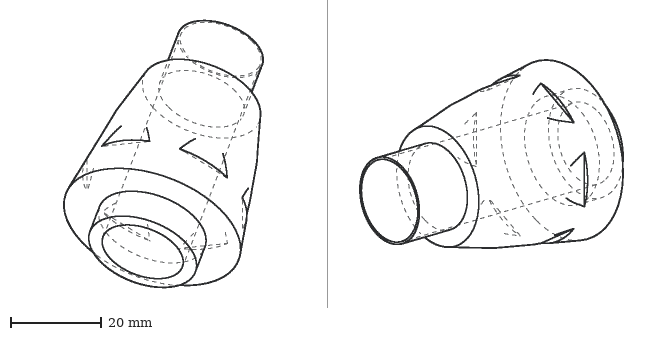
import cadquery as cq

collar_length = 7.1
total_length = 58.0
rim_end = 0.15
band_end = 4.5
shoulder_end = 24.4
body_end = 36.7
tube_end = total_length - collar_length

bore_diameter = 18.8
tube_diameter = 19.88
collar_diameter = 25.0
flange_diameter = 41.0
shoulder_diameter = 33.5
body_end_diameter = 27.5

flat_count = 6
flat_distance = 18.0
flat_start = 9.25


def taper_radius(station):
    """Radius of the main taper at a station between the rim and the shoulder."""
    fraction = (station - rim_end) / (shoulder_end - rim_end)
    return (flange_diameter + fraction * (shoulder_diameter - flange_diameter)) / 2


def make_turned_body():
    """Collar, tapered body and rear tube, revolved around Y."""
    return (
        cq.Workplane("ZY")
        .moveTo(bore_diameter / 2, -collar_length)
        .lineTo(collar_diameter / 2, -collar_length)
        .lineTo(collar_diameter / 2, 0)
        .lineTo(flange_diameter / 2, 0)
        .lineTo(flange_diameter / 2, rim_end)
        .lineTo(taper_radius(band_end), band_end)
        .lineTo(shoulder_diameter / 2, shoulder_end)
        .lineTo(body_end_diameter / 2, body_end)
        .lineTo(tube_diameter / 2, body_end)
        .lineTo(tube_diameter / 2, tube_end)
        .lineTo(bore_diameter / 2, tube_end)
        .close()
        .revolve(360, (0, 0, 0), (0, 1, 0), clean=False)
    )


def make_flat_cutter(angle):
    """Block lying outside one grip flat, turned around Y by the given angle."""
    depth = flange_diameter / 2 - flat_distance
    length = shoulder_end - flat_start
    return (
        cq.Workplane("XY")
        .box(depth, length, flange_diameter, centered=(False, False, True))
        .translate((flat_distance, flat_start, 0))
        .rotate((0, 0, 0), (0, 1, 0), angle)
    )


result = make_turned_body()
for index in range(flat_count):
    result = result.cut(make_flat_cutter(index * 360 / flat_count), clean=False)